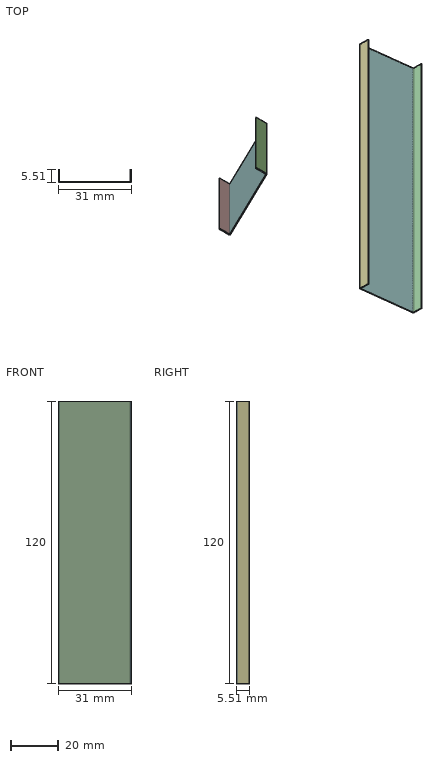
import cadquery as cq

WIDTH = 31.0
LENGTH = 120.0

THICKNESS = 0.5
INNER_RADIUS = 0.01
OUTER_RADIUS = INNER_RADIUS + THICKNESS
FLANGE_LENGTH = 5.0
DEPTH = FLANGE_LENGTH + OUTER_RADIUS


def rounded_block(width, front, radius):
    """Full-length block from the plane y = front to y = DEPTH, with its two front edges rounded."""
    depth = DEPTH - front
    block = cq.Workplane("XY").box(width, depth, LENGTH, centered=(True, False, True))
    return block.edges("|Z and <Y").fillet(radius).translate((0, front, 0))


def folded_channel():
    """U-shaped channel: a web facing -Y and two flanges folded toward +Y."""
    outside = rounded_block(WIDTH, 0, OUTER_RADIUS)
    inside = rounded_block(WIDTH - 2 * THICKNESS, THICKNESS, INNER_RADIUS)
    return outside.cut(inside)


result = folded_channel()